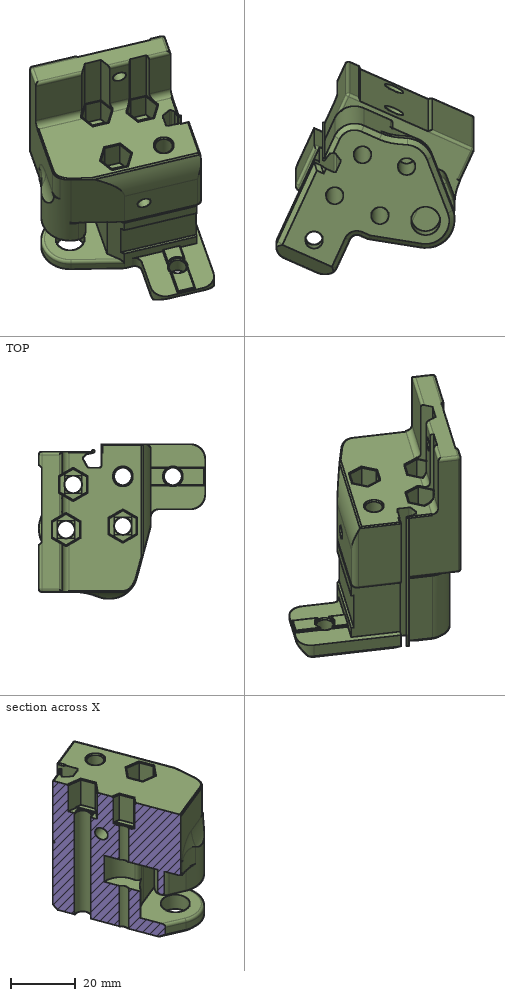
import cadquery as cq
import math

TOTAL_HEIGHT = 71.0
TOTAL_LENGTH = 51.65
TOTAL_WIDTH = 48.02
OVERSHOOT = 1.0

NOSE_RADIUS = 9.0
NOSE_REACH = 2.1
NOSE_X = 21.8
NOSE_Y = NOSE_RADIUS - NOSE_REACH

BACK_Y = TOTAL_WIDTH - NOSE_REACH
BODY_RIGHT = 34.8
SLOPE_TOP_Y = 20.6

SLAB_THICKNESS = 7.3
SLAB_BACK_Y = 43.6
SLAB_ROUND = 1.0
SLAB_ROOT_RADIUS = 2.0
RECESS_DEPTH = 0.9
RECESS_FRONT_Y = 15.45
RECESS_BACK_Y = 38.6
MOUNT_HOLE_D = 4.2
MOUNT_SINK_D = 6.3
MOUNT_HOLE_Y = 27.06
MOUNT_HOLE_HEIGHTS = (34.15, 64.55)

BLOCK_BOTTOM = 25.9
BLOCK_TOP = 49.8
BLOCK_EDGE = 0.4
FRONT_BLEND_RADIUS = 3.8
BACK_CORNER_RADIUS = 1.8
CROWN_START_Z = 40.4
CROWN_INSET = 2.6

BULGE_LEFT_RADIUS = 19.3
BULGE_TOP_Z = 38.5
BULGE_START_Z = 31.3

BOSS_BOTTOM = 16.3
BOSS_CORNER_RADIUS = 3.3
BOSS_LEFT = 10.5
BOSS_EDGE_RADIUS = 0.9

COLUMN_LEFT = 2.4
COLUMN_FRONT_Y = 16.3
COLUMN_BACK_Y = 44.1
COLUMN_BACK_RADIUS = 6.8
COLUMN_BEVEL = 4.2
KNUCKLE_TOP = 15.9
KNUCKLE_BLEND_RADIUS = 12.0
CLEARANCE_RADIUS = 7.0
CLEARANCE_LIP_RADIUS = 1.3
SIDE_RECESS_DEPTH = 0.8
SIDE_RECESS_Z = (9.6, 22.1)

FOOT_HEIGHT = 5.6
FOOT_EDGE_RADIUS = 1.0
FOOT_HOLE_D = 9.0
FOOT_BLEND_Y = 30.7
FOOT_BLEND_ANGLE = 19.5
BASE_CHAMFER = 1.7
FLANGE_HEIGHT = 6.0
FLANGE_FRONT_Y = 25.66
FLANGE_CORNER_RADIUS = 4.7
FLANGE_ROOT_RADIUS = 2.3
FLANGE_TIP_CHAMFER = 4.6
STRIP_HEIGHT = 0.8
STRIP_WIDTH = 5.7
STRIP_GAP = 3.6
STRIP_END_INSET = 0.15
STRIP_EDGE = 0.3

SCREW_D = 5.4
SCREW_SINK_D = 6.25
NUT_FLATS = 8.4
NUT_MOUTH_FLATS = 9.0
NUT_MOUTH_DEPTH = 0.3
NUT_DEPTH = 10.0
BRIDGE_STEP = 0.3
KNUCKLE_SCREW = (8.47, 19.4)
NUT_SCREWS = ((10.7, 33.4), KNUCKLE_SCREW, (26.1, 20.5))
PLAIN_SCREW = (26.1, 35.9)
FLANGE_SCREW = (41.6, PLAIN_SCREW[1])

CHANNEL_RIGHT = 19.4
CHANNEL_FLOOR_Y = 38.66
CHANNEL_FLOOR_LEFT = 15.2
CHANNEL_WAIST = (13.6, 41.6)
CHANNEL_ROUND = 0.6
LIP_ROOT = (14.7, 42.7)
LIP_TIP = (16.7, 43.1)
LIP_BEND_X = 15.4
BEAD_RADIUS = 0.43
BEAD = (16.9, 43.72)


def polar(centre, radius, degrees):
    """Point on a circle."""
    angle = math.radians(degrees)
    return (centre[0] + radius * math.cos(angle), centre[1] + radius * math.sin(angle))


def box(x, y, z):
    """Box from three (low, high) pairs."""
    size = (x[1] - x[0], y[1] - y[0], z[1] - z[0])
    return cq.Workplane("XY").box(*size, centered=False).translate((x[0], y[0], z[0]))


def rod(centre, diameter, bottom, top):
    """Upright cylinder."""
    return cq.Workplane("XY", origin=(*centre, bottom)).circle(diameter / 2).extrude(top - bottom)


NOSE = (NOSE_X, NOSE_Y)
SLOPE_TOP = (BODY_RIGHT, SLOPE_TOP_Y)


def slope_tangent_angle():
    """Direction from the nose centre to where the sloped side leaves the nose."""
    dx = BODY_RIGHT - NOSE_X
    dy = SLOPE_TOP_Y - NOSE_Y
    return math.degrees(math.atan2(dy, dx) - math.acos(NOSE_RADIUS / math.hypot(dx, dy)))


SLOPE_ANGLE = slope_tangent_angle()
SLOPE_START = polar(NOSE, NOSE_RADIUS, SLOPE_ANGLE)


def make_block():
    """Block with the mounting slab standing on its left side."""
    front_angle = -math.degrees(math.asin(NOSE_Y / NOSE_RADIUS))
    front_end = polar(NOSE, NOSE_RADIUS, front_angle)
    block = (
        cq.Workplane("XY", origin=(0, 0, BLOCK_BOTTOM))
        .lineTo(*front_end)
        .threePointArc(polar(NOSE, NOSE_RADIUS, (front_angle + SLOPE_ANGLE) / 2), SLOPE_START)
        .lineTo(*SLOPE_TOP)
        .lineTo(BODY_RIGHT, BACK_Y)
        .lineTo(CHANNEL_RIGHT, BACK_Y)
        .lineTo(CHANNEL_RIGHT, SLAB_BACK_Y)
        .lineTo(0, SLAB_BACK_Y)
        .close()
        .extrude(BLOCK_TOP - BLOCK_BOTTOM)
    )
    mid_z = (BLOCK_TOP + BLOCK_BOTTOM) / 2
    near_front = cq.selectors.NearestToPointSelector((*front_end, mid_z))
    near_back = cq.selectors.NearestToPointSelector((BODY_RIGHT, BACK_Y, mid_z))
    block = block.edges("|Z").edges(near_front).fillet(FRONT_BLEND_RADIUS)
    block = block.edges("|Z").edges(near_back).fillet(BACK_CORNER_RADIUS)
    block = block.intersect(make_crown())
    block = block.faces(">Z").edges().chamfer(BLOCK_EDGE)
    slab = box((0, SLAB_THICKNESS), (0, SLAB_BACK_Y), (BLOCK_BOTTOM, TOTAL_HEIGHT))
    root_width = SLAB_THICKNESS + SLAB_ROOT_RADIUS
    root_fill = box((0, root_width), (0, SLAB_BACK_Y), (BLOCK_BOTTOM, BLOCK_TOP))
    return block.union(slab).union(root_fill)


def make_crown():
    """Side profile whose right edge curves inward toward the top."""
    rise = BLOCK_TOP - CROWN_START_Z
    radius = (rise**2 + CROWN_INSET**2) / (2 * CROWN_INSET)
    half_angle = math.degrees(math.asin(rise / radius)) / 2
    return (
        cq.Workplane("XZ")
        .moveTo(0, BLOCK_BOTTOM)
        .lineTo(BODY_RIGHT, BLOCK_BOTTOM)
        .lineTo(BODY_RIGHT, CROWN_START_Z)
        .threePointArc(
            polar((BODY_RIGHT - radius, CROWN_START_Z), radius, half_angle),
            (BODY_RIGHT - CROWN_INSET, BLOCK_TOP),
        )
        .lineTo(0, BLOCK_TOP)
        .close()
        .extrude(-BACK_Y)
    )


def finish_block(block):
    """Root fillet of the slab and rounding of the outer edges."""
    root = cq.selectors.NearestToPointSelector((SLAB_THICKNESS, SLAB_BACK_Y / 2, BLOCK_TOP))
    block = block.edges("|Y").edges(root).fillet(SLAB_ROOT_RADIUS)
    return block.edges("<X or >Z or <Z").fillet(SLAB_ROUND)


def make_bulge():
    """Nose bulge below BULGE_TOP_Z, flared into the front face on the left and at the top."""
    left_x = NOSE_X - math.sqrt((NOSE_RADIUS + BULGE_LEFT_RADIUS)**2 - (NOSE_Y + BULGE_LEFT_RADIUS)**2)
    flare_centre = (left_x, -BULGE_LEFT_RADIUS)
    meet_angle = math.degrees(math.atan2(NOSE_Y + BULGE_LEFT_RADIUS, NOSE_X - left_x))
    meet = polar(flare_centre, BULGE_LEFT_RADIUS, meet_angle)
    plan = (
        cq.Workplane("XY", origin=(0, 0, BLOCK_BOTTOM))
        .moveTo(left_x, 0)
        .threePointArc(polar(flare_centre, BULGE_LEFT_RADIUS, (90 + meet_angle) / 2), meet)
        .threePointArc((NOSE_X, -NOSE_REACH), SLOPE_START)
        .lineTo(left_x, SLOPE_START[1])
        .close()
        .extrude(BULGE_TOP_Z - BLOCK_BOTTOM)
    )
    depth = SLOPE_START[1]
    width = (left_x, BODY_RIGHT)
    lower = box(width, (-NOSE_REACH, depth), (BLOCK_BOTTOM, BULGE_START_Z))
    rise = BULGE_TOP_Z - BULGE_START_Z
    radius = (rise**2 + NOSE_REACH**2) / (2 * NOSE_REACH)
    half_angle = math.degrees(math.asin(rise / radius)) / 2

    def flare():
        return (
            cq.Workplane("YZ", origin=(meet[0], 0, 0))
            .moveTo(depth, BULGE_START_Z)
            .lineTo(-NOSE_REACH, BULGE_START_Z)
            .threePointArc(polar((-radius, BULGE_TOP_Z), radius, -half_angle), (0, BULGE_TOP_Z))
            .lineTo(depth, BULGE_TOP_Z)
            .close()
        )

    top = flare().extrude(BODY_RIGHT - meet[0])
    corner = flare().revolve(360, (0, BULGE_START_Z), (1, BULGE_START_Z))
    return plan.intersect(lower.union(top).union(corner))


def make_boss():
    """Boss hanging below the block behind the nose."""
    radius = BOSS_CORNER_RADIUS
    left_tangent = polar(NOSE, NOSE_RADIUS, 225)
    corner_x = BOSS_LEFT + radius
    corner_y = NOSE_X + NOSE_Y - math.sqrt(2) * (NOSE_RADIUS - radius) - corner_x
    corner = (corner_x, corner_y)
    back_y = corner_y + radius
    right_x = NOSE_X + NOSE_RADIUS
    right_corner = (right_x - (back_y - NOSE_Y), NOSE_Y)
    boss = (
        cq.Workplane("XY", origin=(0, 0, BOSS_BOTTOM))
        .moveTo(*left_tangent)
        .threePointArc(polar(NOSE, NOSE_RADIUS, -67.5), (right_x, NOSE_Y))
        .threePointArc(polar(right_corner, back_y - NOSE_Y, 45), (right_corner[0], back_y))
        .lineTo(corner_x, back_y)
        .threePointArc(polar(corner, radius, 157.5), polar(corner, radius, 225))
        .close()
        .extrude(BLOCK_BOTTOM - BOSS_BOTTOM)
    )
    return boss.faces("<Z").edges().fillet(BOSS_EDGE_RADIUS)


def make_column():
    """Column with the round knuckle at its front left and a hollow above the knuckle."""
    knuckle_radius = KNUCKLE_SCREW[0] - COLUMN_LEFT
    blend = KNUCKLE_BLEND_RADIUS
    blend_y = COLUMN_FRONT_Y - blend
    reach = knuckle_radius + blend
    blend_x = KNUCKLE_SCREW[0] + math.sqrt(reach**2 - (KNUCKLE_SCREW[1] - blend_y)**2)
    blend_centre = (blend_x, blend_y)
    meet_angle = math.degrees(math.atan2(blend_y - KNUCKLE_SCREW[1], blend_x - KNUCKLE_SCREW[0]))
    blend_mid_angle = (meet_angle + 180 + 90) / 2
    column = (
        cq.Workplane("XY")
        .moveTo(COLUMN_LEFT, KNUCKLE_SCREW[1])
        .threePointArc(
            polar(KNUCKLE_SCREW, knuckle_radius, -120),
            polar(KNUCKLE_SCREW, knuckle_radius, meet_angle),
        )
        .threePointArc(polar(blend_centre, blend, blend_mid_angle), (blend_x, COLUMN_FRONT_Y))
        .lineTo(BODY_RIGHT - COLUMN_BEVEL, COLUMN_FRONT_Y)
        .lineTo(*SLOPE_TOP)
        .lineTo(BODY_RIGHT, COLUMN_BACK_Y)
        .lineTo(CHANNEL_RIGHT, COLUMN_BACK_Y)
        .lineTo(CHANNEL_RIGHT, SLAB_BACK_Y)
        .lineTo(COLUMN_LEFT + COLUMN_BACK_RADIUS, SLAB_BACK_Y)
        .radiusArc((COLUMN_LEFT, SLAB_BACK_Y - COLUMN_BACK_RADIUS), -COLUMN_BACK_RADIUS)
        .close()
        .extrude(BLOCK_BOTTOM)
    )
    hollow_back_y = KNUCKLE_SCREW[1] + CLEARANCE_RADIUS
    hollow = rod(KNUCKLE_SCREW, 2 * CLEARANCE_RADIUS, KNUCKLE_TOP, BLOCK_BOTTOM)
    hollow = hollow.union(box((0, KNUCKLE_SCREW[0]), (0, hollow_back_y), (KNUCKLE_TOP, BLOCK_BOTTOM)))
    column = column.cut(hollow)
    lip_z = (KNUCKLE_TOP + BLOCK_BOTTOM) / 2
    lip = cq.selectors.NearestToPointSelector((COLUMN_LEFT, hollow_back_y, lip_z))
    front_lip_x = KNUCKLE_SCREW[0] + math.sqrt(CLEARANCE_RADIUS**2 - (KNUCKLE_SCREW[1] - COLUMN_FRONT_Y)**2)
    front_lip = cq.selectors.NearestToPointSelector((front_lip_x, COLUMN_FRONT_Y, lip_z))
    for selector in (lip, front_lip):
        column = column.edges("|Z").edges(selector).fillet(CLEARANCE_LIP_RADIUS)
    side_recess = box((BODY_RIGHT - SIDE_RECESS_DEPTH, BODY_RIGHT), (0, BACK_Y), SIDE_RECESS_Z)
    return column.cut(side_recess)


def make_foot():
    """Foot plate under the nose, curving back to the column on the left."""
    left_corner = (NOSE_RADIUS, NOSE_X + NOSE_Y - NOSE_RADIUS)
    foot = (
        cq.Workplane("XY")
        .moveTo(BODY_RIGHT, FOOT_BLEND_Y)
        .lineTo(COLUMN_LEFT, FOOT_BLEND_Y)
        .spline(
            [polar(left_corner, NOSE_RADIUS, 180 - FOOT_BLEND_ANGLE)],
            tangents=[(0, -1), polar((0, 0), 1, 270 - FOOT_BLEND_ANGLE)],
            includeCurrent=True,
        )
        .threePointArc((0, left_corner[1]), polar(left_corner, NOSE_RADIUS, 225))
        .lineTo(*polar(NOSE, NOSE_RADIUS, 225))
        .threePointArc((NOSE_X, -NOSE_REACH), SLOPE_START)
        .lineTo(*SLOPE_TOP)
        .close()
        .extrude(FOOT_HEIGHT)
    )
    front_edges = cq.selectors.BoxSelector(
        (-OVERSHOOT, -NOSE_REACH - OVERSHOOT, FOOT_HEIGHT - OVERSHOOT / 2),
        (BODY_RIGHT - OVERSHOOT, FOOT_BLEND_Y - OVERSHOOT, FOOT_HEIGHT + OVERSHOOT / 2),
    )
    return foot.edges(front_edges).fillet(FOOT_EDGE_RADIUS)


def make_flange():
    """Flat flange at the back right, with a rounded root beside the column."""
    flange = box((CHANNEL_RIGHT, TOTAL_LENGTH), (FLANGE_FRONT_Y, BACK_Y), (0, FLANGE_HEIGHT))
    flange = flange.edges("|Z and >X").fillet(FLANGE_CORNER_RADIUS)
    root_size = FLANGE_ROOT_RADIUS
    root_y = FLANGE_FRONT_Y - root_size
    root = box((BODY_RIGHT, BODY_RIGHT + root_size), (root_y, FLANGE_FRONT_Y), (0, FLANGE_HEIGHT))
    root = root.cut(rod((BODY_RIGHT + root_size, root_y), 2 * root_size, 0, FLANGE_HEIGHT))
    inner = box((CHANNEL_RIGHT, BODY_RIGHT), (root_y, FLANGE_FRONT_Y), (0, FLANGE_HEIGHT))
    return flange.union(root).union(inner)


def make_strips():
    """Raised strip along the flange, interrupted at the flange screw."""
    strip_y = (FLANGE_SCREW[1] - STRIP_WIDTH / 2, FLANGE_SCREW[1] + STRIP_WIDTH / 2)
    strip_z = (FLANGE_HEIGHT, FLANGE_HEIGHT + STRIP_HEIGHT)
    gap = (FLANGE_SCREW[0] - STRIP_GAP / 2, FLANGE_SCREW[0] + STRIP_GAP / 2)
    inner = box((BODY_RIGHT, gap[0]), strip_y, strip_z).edges(">Z and (not <X)").chamfer(STRIP_EDGE)
    outer = box((gap[1], TOTAL_LENGTH - STRIP_END_INSET), strip_y, strip_z).edges(">Z").chamfer(STRIP_EDGE)
    return inner.union(outer).cut(rod(FLANGE_SCREW, SCREW_SINK_D, *strip_z))


def make_base():
    """Column, foot and flange with a bevelled underside."""
    base = make_column().union(make_foot()).union(make_flange())
    base = base.faces("<Z").edges().chamfer(BASE_CHAMFER)
    tip = FLANGE_TIP_CHAMFER
    tip_cut = (
        cq.Workplane("XZ")
        .moveTo(TOTAL_LENGTH - tip, 0)
        .lineTo(TOTAL_LENGTH, tip)
        .lineTo(TOTAL_LENGTH, 0)
        .close()
        .extrude(-BACK_Y)
    )
    return base.cut(tip_cut).union(make_strips())


def countersunk_hole(centre, bottom, top):
    """Screw hole cutter with a conical mouth at the top."""
    sink_depth = (SCREW_SINK_D - SCREW_D) / 2
    mouth = (
        cq.Workplane("XY", origin=(*centre, top))
        .circle(SCREW_SINK_D / 2)
        .extrude(-sink_depth, taper=45)
    )
    return rod(centre, SCREW_D, bottom - OVERSHOOT, top).union(mouth)


def hexagon(centre, flats, bottom, top):
    """Upright hexagonal prism with corners toward +Y and -Y."""
    corners = flats / math.cos(math.radians(30))
    return (
        cq.Workplane("XY", origin=(*centre, bottom))
        .transformed(rotate=(0, 0, 90))
        .polygon(6, corners)
        .extrude(top - bottom)
    )


def nut_hole(centre):
    """Screw hole with a hexagonal nut pocket whose floor steps down for bridging."""
    floor = BLOCK_TOP - NUT_DEPTH
    half = SCREW_D / 2
    span_x = (centre[0] - half, centre[0] + half)
    span_y = (centre[1] - half, centre[1] + half)
    hole = rod(centre, SCREW_D, -OVERSHOOT, floor)
    pocket = hexagon(centre, NUT_FLATS, floor, TOTAL_HEIGHT)
    mouth = hexagon(centre, NUT_MOUTH_FLATS, BLOCK_TOP - NUT_MOUTH_DEPTH, TOTAL_HEIGHT)
    slot = hexagon(centre, NUT_FLATS, floor - BRIDGE_STEP, floor)
    slot = slot.intersect(box(span_x, (0, BACK_Y), (0, BLOCK_TOP)))
    square = box(span_x, span_y, (floor - 2 * BRIDGE_STEP, floor))
    return hole.union(pocket).union(mouth).union(slot).union(square)


def mounting_hole(height):
    """Countersunk hole along X from the mounting recess."""
    sink_depth = (MOUNT_SINK_D - MOUNT_HOLE_D) / 2
    start = cq.Workplane("YZ", origin=(RECESS_DEPTH, MOUNT_HOLE_Y, height))
    hole = start.circle(MOUNT_HOLE_D / 2).extrude(TOTAL_LENGTH)
    return hole.union(start.circle(MOUNT_SINK_D / 2).extrude(sink_depth, taper=45))


def mounting_recess():
    """Shallow recess across the mounting face with 45 degree sides."""
    return (
        cq.Workplane("XY", origin=(0, 0, BLOCK_BOTTOM))
        .moveTo(0, RECESS_FRONT_Y - RECESS_DEPTH)
        .lineTo(RECESS_DEPTH, RECESS_FRONT_Y)
        .lineTo(RECESS_DEPTH, RECESS_BACK_Y)
        .lineTo(0, RECESS_BACK_Y + RECESS_DEPTH)
        .close()
        .extrude(TOTAL_HEIGHT - BLOCK_BOTTOM)
    )


def cable_channel():
    """Upright channel in the back, narrowed by a lip on its left."""
    channel = (
        cq.Workplane("XY")
        .moveTo(CHANNEL_RIGHT, BACK_Y)
        .lineTo(CHANNEL_RIGHT, CHANNEL_FLOOR_Y)
        .lineTo(CHANNEL_FLOOR_LEFT, CHANNEL_FLOOR_Y)
        .lineTo(*CHANNEL_WAIST)
        .lineTo(*LIP_ROOT)
        .lineTo(*LIP_TIP)
        .lineTo(*BEAD)
        .lineTo(LIP_BEND_X, SLAB_BACK_Y)
        .lineTo(LIP_BEND_X, BACK_Y)
        .close()
        .extrude(BLOCK_TOP)
    )
    for corner in ((CHANNEL_RIGHT, CHANNEL_FLOOR_Y), (CHANNEL_FLOOR_LEFT, CHANNEL_FLOOR_Y), CHANNEL_WAIST):
        edge = cq.selectors.NearestToPointSelector((*corner, BLOCK_TOP / 2))
        channel = channel.edges("|Z").edges(edge).fillet(CHANNEL_ROUND)
    return channel


def make_part():
    """Whole part: block, boss and base joined, then the channel, recess and holes cut."""
    upper = finish_block(make_block()).union(make_bulge())
    part = upper.union(make_boss()).union(make_base())
    part = part.cut(cable_channel()).union(rod(BEAD, 2 * BEAD_RADIUS, 0, BLOCK_TOP))
    part = part.cut(mounting_recess())
    for height in MOUNT_HOLE_HEIGHTS:
        part = part.cut(mounting_hole(height))
    for screw in NUT_SCREWS:
        part = part.cut(nut_hole(screw))
    part = part.cut(countersunk_hole(PLAIN_SCREW, 0, BLOCK_TOP))
    part = part.cut(countersunk_hole(FLANGE_SCREW, 0, FLANGE_HEIGHT))
    return part.cut(rod(NOSE, FOOT_HOLE_D, 0, FOOT_HEIGHT))


result = make_part()